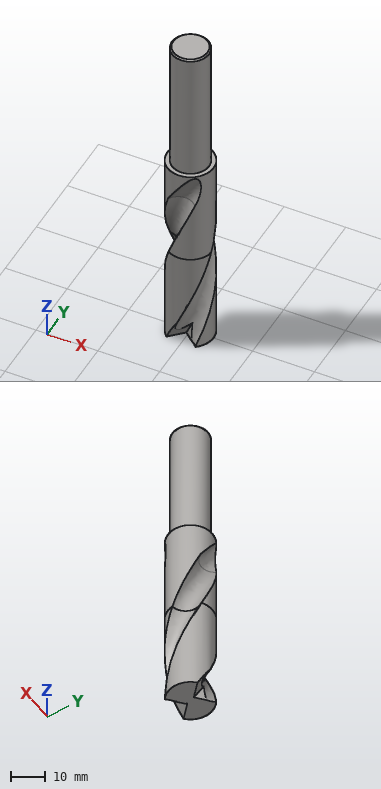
import cadquery as cq
import math

total_height = 110.0
drill_radius = 7.5
tip_height = 34.0
shoulder_height = 66.0
shank_radius = 6.0
shank_chamfer = 0.5

flute_count = 2
flute_centre_radius = 8.5
flute_radius = 4.85
flute_start_angle = 2.0
flute_end_angle = 181.0
flute_end_height = 54.4

runout_slope = 0.65
runout_rise = 0.15
runout_height = 12.0

gash_root = (-0.6, -1.53)
gash_crease_slope = (0.459, -0.259)
heel_angle = 224.0
lip_angle = 320.0
gash_wall_length = 15.0
gash_top = 10.0
gash_overrun = 1.0


def make_helix():
    """Helical length of the flute that starts on the -Y side."""
    section = cq.Workplane("XY").moveTo(0, -flute_centre_radius).circle(flute_radius)
    helix = section.twistExtrude(flute_end_height, flute_end_angle - flute_start_angle)
    return helix.rotate((0, 0, 0), (0, 0, 1), flute_start_angle)


def runout_outline(height):
    """Flute circle, shifted along the run-out by the given height above the helix."""
    centre = cq.Vector(
        runout_slope * height,
        -flute_centre_radius - runout_rise * height,
        flute_end_height + height,
    )
    return cq.Wire.makeCircle(flute_radius, centre, cq.Vector(0, 0, 1))


def make_runout():
    """Straight slanted cylinder that carries on from the top of the helix."""
    runout = cq.Solid.makeLoft([runout_outline(0), runout_outline(runout_height)], True)
    return cq.Workplane(runout).rotate((0, 0, 0), (0, 0, 1), flute_end_angle)


def gash_outline(height):
    """Triangle across the gash at the given height, as a closed wire."""
    root = cq.Vector(
        gash_root[0] + gash_crease_slope[0] * height,
        gash_root[1] + gash_crease_slope[1] * height,
        height,
    )
    corners = [root]
    for angle in (heel_angle, lip_angle):
        direction = cq.Vector(math.cos(math.radians(angle)), math.sin(math.radians(angle)), 0)
        corners.append(root + direction * gash_wall_length)
    return cq.Wire.makePolygon(corners, close=True)


def make_gash():
    """Slanted wedge between the heel wall and the cutting lip."""
    return cq.Workplane(cq.Solid.makeLoft([gash_outline(-gash_overrun), gash_outline(gash_top)], True))


def cut_flutes(body, cutters):
    """Cut every cutter from the body, once per flute."""
    for index in range(flute_count):
        angle = index * 360.0 / flute_count
        for cutter in cutters:
            body = body.cut(cutter.rotate((0, 0, 0), (0, 0, 1), angle))
    return body


def make_tip(helix, gash):
    """Fluted cutting tip below the joint."""
    blank = cq.Workplane("XY").circle(drill_radius).extrude(tip_height)
    return cut_flutes(blank, [helix, gash])


def make_body(helix, runout):
    """Fluted body above the joint, with its shank."""
    shank = (
        cq.Workplane("XY", origin=(0, 0, tip_height))
        .circle(shank_radius)
        .extrude(total_height - tip_height)
        .faces(">Z")
        .chamfer(shank_chamfer)
    )
    blank = (
        cq.Workplane("XY", origin=(0, 0, tip_height))
        .circle(drill_radius)
        .extrude(shoulder_height - tip_height)
        .union(shank)
    )
    return cut_flutes(blank, [helix, runout])


helix = make_helix()
tip = make_tip(helix, make_gash())
body = make_body(helix, make_runout())

result = cq.Compound.makeCompound([tip.val(), body.val()])